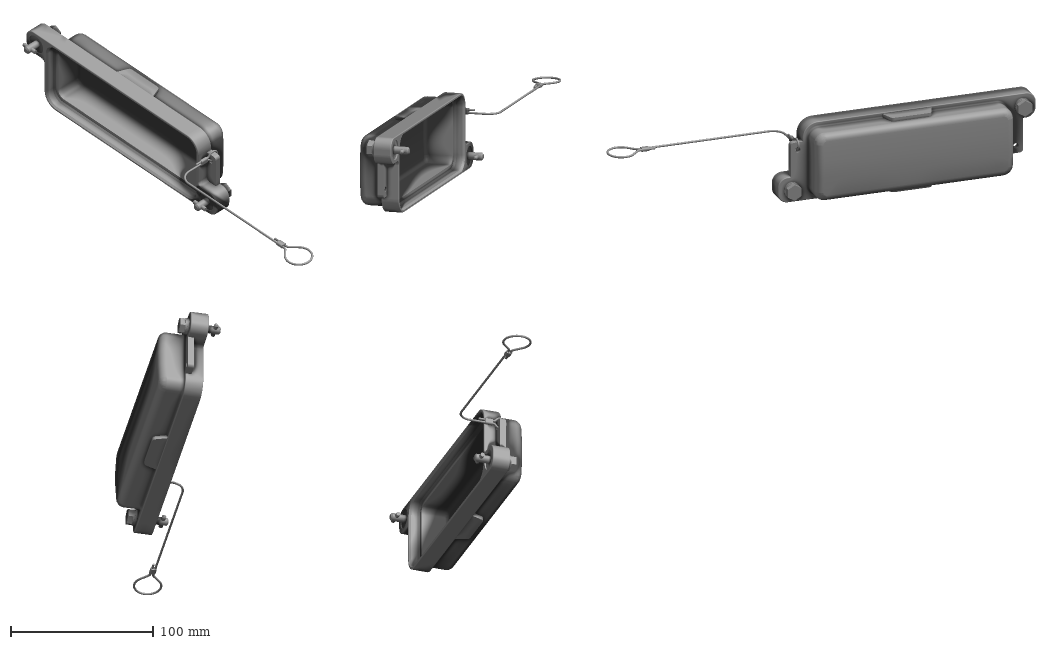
import cadquery as cq
import math


FLANGE_HALF_X = 78.0
FLANGE_HALF_Z = 29.0
FLANGE_DEPTH = 13.0
FLANGE_CORNER_R = 11.5
FLANGE_EDGE_R = 0.5

EAR_END_X = 96.7
EAR_INNER_Z = 10.2
EAR_CORNER_R = 7.5
EAR_ROOT_R = 3.0

CAP_HALF_X = 74.5
CAP_HALF_Z = 25.3
CAP_BACK_Y = 31.5
CAP_CORNER_R = 7.7
CAP_EDGE_R = 5.3
CAP_BASE_R = 1.2
CROWN_R = 216.2
WALL = 2.5
FLOOR_THICKNESS = 2.8
CAVITY_EDGE_R = 2.8

RIM_WIDTH = 2.5
RECESS_DEPTH = 7.7
RECESS_CHAMFER_WIDTH = 1.0
RECESS_CHAMFER_DEPTH = 1.5

PAD_BASE_HALF = 18.5
PAD_TOP_HALF = 14.8
PAD_BACK_Y = 23.0
PAD_HALF_Z = 28.0
PAD_CORNER_R = 3.0

TAB_END_X = 87.0
TAB_END_Z = 15.5
TAB_THICKNESS = 4.3
TAB_CORNER_R = 2.5
TAB_HOLE_X = 82.0
TAB_HOLE_Z = 10.0
TAB_HOLE_R = 2.0

SCREW_X = 86.5
SCREW_Z = 19.8
SHAFT_R = 2.8
SHAFT_TIP_Y = -10.2
SHAFT_CHAMFER = 1.0
WASHER_R = 6.0
WASHER_HEIGHT = 1.5
COLLAR_R = 5.5
COLLAR_HEIGHT = 1.2
HEX_FLATS = 10.2
HEX_HEIGHT = 3.7
CROSS_PIN_TIP = 6.5
CROSS_PIN_END = 6.0
CROSS_PIN_R = 1.5
CROSS_PIN_CHAMFER = 1.0
CROSS_PIN_Y = -6.2
EAR_RECESS_R = 7.0
EAR_RECESS_DEPTH = 1.0

OVERALL_X = 309.0
OVERALL_Y = 62.5
WIRE_R = 0.77
STRAND_OFFSET = 1.08
BEND_R = 9.3
FERRULE_LENGTH = 5.5
FERRULE_WIDTH = 4.5
FERRULE_HEIGHT = 2.8
FERRULE_EDGE_R = 1.2
TAIL_LENGTH = 4.5
FERRULE_GAP = 1.2
TAB_LOOP_R = 3.85
TAB_LOOP_Z = 13.3
TAB_LOOP_BEND_R = 1.2
END_LOOP_R = 9.5
END_LOOP_Y = CAP_BACK_Y - OVERALL_Y + END_LOOP_R + WIRE_R
END_LOOP_BEND_R = 3.0


def both_ends(body):
    """The body together with its copy turned half a turn about the Y axis."""
    return body.union(body.rotate((0, 0, 0), (0, 1, 0), 180))


def rounded_slab(half_x, half_z, corner_r, y_start, depth):
    """A plate with rounded corners that grows from y_start towards +Y."""
    slab = cq.Workplane("XZ", origin=(0, y_start, 0)).rect(2 * half_x, 2 * half_z).extrude(-depth)
    return slab.edges("|Y").fillet(corner_r)


def crowned_block(half_x, half_z, corner_r, back_y, crown_r, edge_r):
    """A block from Y = 0 whose back is slightly arched across Z and has rounded edges."""
    side_y = back_y - (crown_r - math.sqrt(crown_r**2 - half_z**2))
    block = (
        cq.Workplane("YZ", origin=(-half_x, 0, 0))
        .moveTo(0, -half_z)
        .lineTo(side_y, -half_z)
        .threePointArc((back_y, 0), (side_y, half_z))
        .lineTo(0, half_z)
        .close()
        .extrude(2 * half_x)
    )
    block = block.edges("|Y").fillet(corner_r)
    return block.faces(">Y").edges().fillet(edge_r)


def make_flange():
    """The flange plate with an ear at two opposite corners."""
    half_outline = [
        (-EAR_END_X, EAR_INNER_Z),
        (-EAR_END_X, FLANGE_HALF_Z),
        (FLANGE_HALF_X, FLANGE_HALF_Z),
        (FLANGE_HALF_X, -EAR_INNER_Z),
    ]
    outline = half_outline + [(-x, -z) for x, z in half_outline]
    flange = cq.Workplane("XZ").polyline(outline).close().extrude(-FLANGE_DEPTH)
    corner_radii = [EAR_CORNER_R, EAR_CORNER_R, FLANGE_CORNER_R, EAR_ROOT_R] * 2
    for (x, z), radius in zip(outline, corner_radii):
        corner = cq.selectors.NearestToPointSelector((x, FLANGE_DEPTH / 2, z))
        flange = flange.edges("|Y").edges(corner).fillet(radius)
    return flange.faces("<Y or >Y").edges().fillet(FLANGE_EDGE_R)


def add_cap(flange):
    """Join the cap to the flange with a small fillet around its base."""
    cap = crowned_block(CAP_HALF_X, CAP_HALF_Z, CAP_CORNER_R, CAP_BACK_Y, CROWN_R, CAP_EDGE_R)
    margin = 0.3
    base_edges = cq.selectors.BoxSelector(
        (-CAP_HALF_X - margin, FLANGE_DEPTH - margin, -CAP_HALF_Z - margin),
        (CAP_HALF_X + margin, FLANGE_DEPTH + margin, CAP_HALF_Z + margin),
    )
    return flange.union(cap).edges(base_edges).fillet(CAP_BASE_R)


def make_pads():
    """One trapezoid bar through the cap that stands out on both long sides."""
    slope = (PAD_BASE_HALF - PAD_TOP_HALF) / (PAD_BACK_Y - FLANGE_DEPTH)
    foot_y = FLANGE_DEPTH - FLANGE_EDGE_R
    foot_half = PAD_BASE_HALF + slope * FLANGE_EDGE_R
    pads = (
        cq.Workplane("XY", origin=(0, 0, -PAD_HALF_Z))
        .polyline(
            [
                (-foot_half, foot_y),
                (-PAD_TOP_HALF, PAD_BACK_Y),
                (PAD_TOP_HALF, PAD_BACK_Y),
                (foot_half, foot_y),
            ]
        )
        .close()
        .extrude(2 * PAD_HALF_Z)
    )
    return pads.faces(">Y").edges("|Z").fillet(PAD_CORNER_R)


def make_tabs():
    """Lanyard tabs flush with the back of the flange, each with a hole."""
    inner_x = FLANGE_HALF_X - RIM_WIDTH
    tab_front_y = FLANGE_DEPTH - TAB_THICKNESS
    tab = (
        cq.Workplane("XZ", origin=(0, tab_front_y, 0))
        .moveTo(inner_x, -EAR_INNER_Z - EAR_ROOT_R)
        .lineTo(TAB_END_X, -EAR_INNER_Z - EAR_ROOT_R)
        .lineTo(TAB_END_X, TAB_END_Z)
        .lineTo(inner_x, TAB_END_Z)
        .close()
        .extrude(-TAB_THICKNESS)
    )
    tab = tab.edges("|Y and >X and >Z").fillet(TAB_CORNER_R)
    hole = (
        cq.Workplane("XZ", origin=(TAB_HOLE_X, tab_front_y, TAB_HOLE_Z))
        .circle(TAB_HOLE_R)
        .extrude(-TAB_THICKNESS)
    )
    return both_ends(tab.cut(hole))


def make_hollow():
    """The cavity, with the chamfered rim recess at its open end."""
    cavity_half_x = CAP_HALF_X - WALL
    cavity_half_z = CAP_HALF_Z - WALL
    hollow = crowned_block(
        cavity_half_x,
        cavity_half_z,
        CAP_CORNER_R - WALL,
        CAP_BACK_Y - FLOOR_THICKNESS,
        CROWN_R - FLOOR_THICKNESS,
        CAVITY_EDGE_R,
    )
    recess = rounded_slab(
        FLANGE_HALF_X - RIM_WIDTH,
        FLANGE_HALF_Z - RIM_WIDTH,
        FLANGE_CORNER_R - RIM_WIDTH,
        0,
        RECESS_DEPTH,
    )
    recess = recess.faces(">Y").chamfer(RECESS_CHAMFER_DEPTH, RECESS_CHAMFER_WIDTH)
    mouth = rounded_slab(
        FLANGE_HALF_X - RIM_WIDTH + RECESS_CHAMFER_WIDTH,
        FLANGE_HALF_Z - RIM_WIDTH + RECESS_CHAMFER_WIDTH,
        FLANGE_CORNER_R - RIM_WIDTH + RECESS_CHAMFER_WIDTH,
        -RECESS_CHAMFER_DEPTH,
        2 * RECESS_CHAMFER_DEPTH,
    )
    mouth = mouth.faces(">Y").chamfer(RECESS_CHAMFER_DEPTH, RECESS_CHAMFER_WIDTH)
    return hollow.union(recess).union(mouth)


def cylinder_y(x, z, radius, y_start, y_end):
    """A cylinder along Y."""
    return cq.Workplane("XZ", origin=(x, y_start, z)).circle(radius).extrude(y_start - y_end)


def make_screw(x, z):
    """Fixed screw: hexagon head, collar, washer, shaft and a cross pin pointed towards -X."""
    washer_back_y = FLANGE_DEPTH + WASHER_HEIGHT
    collar_back_y = washer_back_y + COLLAR_HEIGHT
    washer = cylinder_y(x, z, WASHER_R, FLANGE_DEPTH, washer_back_y)
    collar = cylinder_y(x, z, COLLAR_R, washer_back_y, collar_back_y)
    hex_corners = HEX_FLATS / math.cos(math.pi / 6)
    head = (
        cq.Workplane("XZ", origin=(x, collar_back_y, z))
        .transformed(rotate=(0, 0, 30))
        .polygon(6, hex_corners)
        .extrude(-HEX_HEIGHT)
    )
    shaft = cylinder_y(x, z, SHAFT_R, SHAFT_TIP_Y, FLANGE_DEPTH)
    shaft = shaft.faces("<Y").chamfer(SHAFT_CHAMFER)
    cross_pin = (
        cq.Workplane("YZ", origin=(x - CROSS_PIN_TIP, CROSS_PIN_Y, z))
        .circle(CROSS_PIN_R)
        .extrude(CROSS_PIN_TIP + CROSS_PIN_END)
    )
    cross_pin = cross_pin.faces("<X").chamfer(CROSS_PIN_CHAMFER)
    return shaft.union(washer).union(collar).union(head).union(cross_pin)


def make_cover():
    """Flange, cap, pads and tabs hollowed out, with a screw fixed in each ear."""
    cover = add_cap(make_flange())
    cover = cover.union(make_pads()).union(make_tabs())
    cover = cover.cut(make_hollow())
    for x, z in [(-SCREW_X, SCREW_Z), (SCREW_X, -SCREW_Z)]:
        cover = cover.cut(cylinder_y(x, z, EAR_RECESS_R, 0, EAR_RECESS_DEPTH))
        cover = cover.union(make_screw(x, z))
    return cover


def strand_run(loop_r, bend_r):
    """Distance from a loop's centre back to the point where its strands start to spread."""
    return 2 * loop_r * math.sqrt(0.5) - STRAND_OFFSET + bend_r * (math.sqrt(2) - 1)


def loop_edges(center, along, across, loop_r, bend_r):
    """Teardrop loop from the strand on the -across side round to the one on the +across side.

    `along` points from the strands to the loop centre. Each strand bends out by 45 degrees.
    """
    diag = math.sqrt(0.5)

    def at(a, b):
        return center + along * a + across * b

    start_a = -strand_run(loop_r, bend_r)
    half_bend = math.pi / 8

    def spread(side):
        """Start, middle and end of the bend, then the point where the strand meets the loop."""
        middle_b = STRAND_OFFSET + bend_r * (1 - math.cos(half_bend))
        end_b = STRAND_OFFSET + bend_r * (1 - diag)
        return (
            at(start_a, side * STRAND_OFFSET),
            at(start_a + bend_r * math.sin(half_bend), side * middle_b),
            at(start_a + bend_r * diag, side * end_b),
            at(-loop_r * diag, side * loop_r * diag),
        )

    first = spread(-1)
    last = spread(1)
    return [
        cq.Edge.makeThreePointArc(*first[:3]),
        cq.Edge.makeLine(first[2], first[3]),
        cq.Edge.makeThreePointArc(first[3], at(loop_r, 0), last[3]),
        cq.Edge.makeLine(last[3], last[2]),
        cq.Edge.makeThreePointArc(last[2], last[1], last[0]),
    ]


def make_ferrule(size_x, size_y, size_z, center, long_axis):
    """A block with rounded long edges that clamps the two strands of a loop."""
    ferrule = cq.Workplane("XY").box(size_x, size_y, size_z).edges("|" + long_axis).fillet(FERRULE_EDGE_R)
    return ferrule.translate(center)


def make_lanyard():
    """Wire with a small loop through the tab and a large free loop, each held by a ferrule."""
    x_axis = cq.Vector(1, 0, 0)
    y_axis = cq.Vector(0, 1, 0)
    z_axis = cq.Vector(0, 0, 1)
    end_loop_x = OVERALL_X - EAR_END_X - END_LOOP_R - WIRE_R
    wire_z = TAB_LOOP_Z - STRAND_OFFSET
    tab_loop = cq.Vector(TAB_HOLE_X, FLANGE_DEPTH - TAB_THICKNESS / 2, TAB_LOOP_Z)
    end_loop = cq.Vector(end_loop_x, END_LOOP_Y, wire_z)

    tab_edges = loop_edges(tab_loop, y_axis, z_axis * -1, TAB_LOOP_R, TAB_LOOP_BEND_R)
    end_edges = loop_edges(end_loop, x_axis, y_axis, END_LOOP_R, END_LOOP_BEND_R)

    tail_run = FERRULE_GAP + FERRULE_LENGTH + TAIL_LENGTH
    tab_tail_end = tab_edges[0].startPoint()
    tab_tail = cq.Edge.makeLine(tab_tail_end - y_axis * tail_run, tab_tail_end)
    end_tail_start = end_edges[-1].endPoint()
    end_tail = cq.Edge.makeLine(end_tail_start, end_tail_start - x_axis * tail_run)

    main_y = END_LOOP_Y - STRAND_OFFSET
    bend_start = cq.Vector(TAB_HOLE_X, main_y + BEND_R, wire_z)
    bend_end = cq.Vector(TAB_HOLE_X + BEND_R, main_y, wire_z)
    bend_shift = BEND_R * (1 - math.sqrt(0.5))
    bend_middle = cq.Vector(TAB_HOLE_X + bend_shift, main_y + bend_shift, wire_z)
    main_edges = [
        cq.Edge.makeLine(tab_edges[-1].endPoint(), bend_start),
        cq.Edge.makeThreePointArc(bend_start, bend_middle, bend_end),
        cq.Edge.makeLine(bend_end, end_edges[0].startPoint()),
    ]

    path = cq.Wire.assembleEdges([tab_tail, *tab_edges, *main_edges, *end_edges, end_tail])
    start = cq.Plane(origin=path.startPoint(), xDir=x_axis, normal=y_axis)
    wire = cq.Workplane(start).circle(WIRE_R).sweep(cq.Workplane(path))

    ferrule_shift = FERRULE_GAP + FERRULE_LENGTH / 2
    tab_ferrule_center = tab_loop - y_axis * (strand_run(TAB_LOOP_R, TAB_LOOP_BEND_R) + ferrule_shift)
    end_ferrule_center = end_loop - x_axis * (strand_run(END_LOOP_R, END_LOOP_BEND_R) + ferrule_shift)
    tab_ferrule = make_ferrule(FERRULE_HEIGHT, FERRULE_LENGTH, FERRULE_WIDTH, tab_ferrule_center, "Y")
    end_ferrule = make_ferrule(FERRULE_LENGTH, FERRULE_WIDTH, FERRULE_HEIGHT, end_ferrule_center, "X")
    return wire.union(tab_ferrule).union(end_ferrule)


cover = make_cover()
lanyard = make_lanyard()

result = cq.Compound.makeCompound([cover.solids().val(), lanyard.solids().val()])